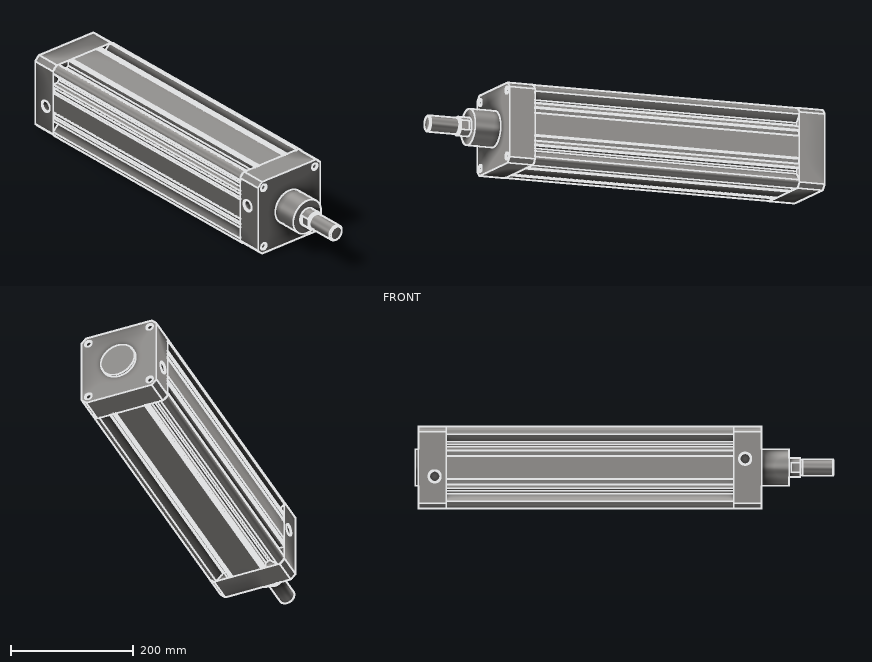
import cadquery as cq


TOTAL_LENGTH = 685.0
REAR_BOSS_LENGTH = 5.5
CAP_LENGTH = 45.0
BARREL_LENGTH = 470.5
FRONT_BOSS_LENGTH = 45.0

BARREL_START = REAR_BOSS_LENGTH + CAP_LENGTH
BARREL_END = BARREL_START + BARREL_LENGTH
FRONT_CAP_END = BARREL_END + CAP_LENGTH
FRONT_BOSS_END = FRONT_CAP_END + FRONT_BOSS_LENGTH

SECTION_WIDTH = 134.0
HALF_WIDTH = SECTION_WIDTH / 2
CAP_CORNER_RADIUS = 89.0
BOSS_RADIUS = 30.0

SCREW_OFFSET = 55.0
SCREW_HOLE_RADIUS = 5.0
SCREW_RIM_CHAMFER = 1.5
SCREW_HOLE_DEPTH = 14.0

PORT_RADIUS = 9.0
PORT_RIM_CHAMFER = 1.5
PORT_DEPTH = 19.0
PORT_HEIGHT = 14.5
REAR_PORT_X = 32.0
FRONT_PORT_X = 540.0

LOBE_RADIUS = 11.5
LOBE_EDGE = 55.0
VALLEY_OUTER = 42.5
VALLEY_INNER = 38.5
VALLEY_LEVEL = HALF_WIDTH - (LOBE_EDGE - VALLEY_OUTER)
LAND_EDGE = 34.0
RIDGE_HEIGHT = 3.0
RIDGE_LEVEL = VALLEY_LEVEL + RIDGE_HEIGHT

FLARED_GROOVE_CENTRE = 23.0
FLARED_GROOVE_WIDTH = 10.0
FLARED_GROOVE_FLOOR = 7.5
FLARED_GROOVE_DEPTH = 3.5

SLOT_CENTRE = 28.0
SLOT_WIDTH = 4.0
SLOT_DEPTH = 2.0

COLLAR_RADIUS = 16.0
COLLAR_END = 630.0
FLATS_START = 615.0
FLATS_WIDTH = 27.5
RELIEF_RADIUS = 13.0
RELIEF_LENGTH = 3.0
THREAD_RADIUS = 14.0
THREAD_START_CHAMFER = THREAD_RADIUS - RELIEF_RADIUS
TIP_CHAMFER = 2.0


def round_bar(radius, start, end):
    """Round bar on the axis from X = start to X = end."""
    return cq.Workplane("YZ", origin=(start, 0, 0)).circle(radius).extrude(end - start)


def cap_block(start):
    """Square cap with its four long edges turned round."""
    block = cq.Workplane("YZ", origin=(start, 0, 0)).rect(SECTION_WIDTH, SECTION_WIDTH).extrude(CAP_LENGTH)
    return block.intersect(round_bar(CAP_CORNER_RADIUS, start, start + CAP_LENGTH))


def countersunk_hole(mouth, inward, radius, depth, rim_chamfer):
    """Blind hole with a countersunk rim, starting at the mouth point and going inward."""
    bore = cq.Solid.makeCylinder(radius, depth, mouth, inward)
    rim = cq.Solid.makeCone(radius + rim_chamfer, radius, rim_chamfer, mouth, inward)
    return cq.Workplane(bore.fuse(rim))


def screw_holes(face_x, inward):
    """Four holes near the corners of the cap face at X = face_x."""
    holes = cq.Workplane()
    for y in (-SCREW_OFFSET, SCREW_OFFSET):
        for z in (-SCREW_OFFSET, SCREW_OFFSET):
            mouth = cq.Vector(face_x, y, z)
            holes = holes.add(
                countersunk_hole(mouth, inward, SCREW_HOLE_RADIUS, SCREW_HOLE_DEPTH, SCREW_RIM_CHAMFER)
            )
    return holes.combine()


def air_port(x, z):
    """Port going inward from the -Y side of a cap."""
    mouth = cq.Vector(x, -HALF_WIDTH, z)
    return countersunk_hole(mouth, cq.Vector(0, 1, 0), PORT_RADIUS, PORT_DEPTH, PORT_RIM_CHAMFER)


def make_rear_cap():
    cap = cap_block(REAR_BOSS_LENGTH).union(round_bar(BOSS_RADIUS, 0, REAR_BOSS_LENGTH))
    cap = cap.cut(screw_holes(REAR_BOSS_LENGTH, cq.Vector(1, 0, 0)))
    return cap.cut(air_port(REAR_PORT_X, -PORT_HEIGHT))


def make_front_cap():
    cap = cap_block(BARREL_END).union(round_bar(BOSS_RADIUS, FRONT_CAP_END, FRONT_BOSS_END))
    cap = cap.cut(round_bar(COLLAR_RADIUS, BARREL_END, FRONT_BOSS_END))
    cap = cap.cut(screw_holes(FRONT_CAP_END, cq.Vector(-1, 0, 0)))
    return cap.cut(air_port(FRONT_PORT_X, PORT_HEIGHT))


def barrel_prism(points):
    """Closed (Y, Z) outline extruded over the barrel length."""
    return cq.Workplane("YZ", origin=(BARREL_START, 0, 0)).polyline(points).close().extrude(BARREL_LENGTH)


def corner_valleys():
    """Valleys beside the round corner lobes, two on each of the four sides."""
    half_valley = [
        (LOBE_EDGE, HALF_WIDTH),
        (VALLEY_OUTER, VALLEY_LEVEL),
        (VALLEY_INNER, VALLEY_LEVEL),
        (LAND_EDGE, RIDGE_LEVEL),
        (LAND_EDGE, HALF_WIDTH),
    ]
    one_side = barrel_prism(half_valley)
    one_side = one_side.union(one_side.mirror("XZ"))
    valleys = cq.Workplane()
    for side in range(4):
        valleys = valleys.add(one_side.rotate((0, 0, 0), (1, 0, 0), 90 * side))
    return valleys.combine()


def flared_grooves():
    """Shallow grooves that widen toward the surface, two in each of the -Y and +Y sides."""
    grooves = cq.Workplane()
    floor_level = HALF_WIDTH - FLARED_GROOVE_DEPTH
    for y_sign in (-1, 1):
        for z_sign in (-1, 1):
            centre = z_sign * FLARED_GROOVE_CENTRE
            outline = [
                (y_sign * HALF_WIDTH, centre - FLARED_GROOVE_WIDTH / 2),
                (y_sign * HALF_WIDTH, centre + FLARED_GROOVE_WIDTH / 2),
                (y_sign * floor_level, centre + FLARED_GROOVE_FLOOR / 2),
                (y_sign * floor_level, centre - FLARED_GROOVE_FLOOR / 2),
            ]
            grooves = grooves.add(barrel_prism(outline))
    return grooves.combine()


def straight_slots():
    """Narrow rectangular slots, two in each of the -Z and +Z sides."""
    slot_level = HALF_WIDTH - SLOT_DEPTH / 2
    slot_centres = [(y * SLOT_CENTRE, z * slot_level) for y in (-1, 1) for z in (-1, 1)]
    return (
        cq.Workplane("YZ", origin=(BARREL_START, 0, 0))
        .pushPoints(slot_centres)
        .rect(SLOT_WIDTH, SLOT_DEPTH)
        .extrude(BARREL_LENGTH)
    )


def make_barrel():
    barrel = cq.Workplane("YZ", origin=(BARREL_START, 0, 0)).rect(SECTION_WIDTH, SECTION_WIDTH)
    barrel = barrel.extrude(BARREL_LENGTH).edges("|X").fillet(LOBE_RADIUS)
    return barrel.cut(corner_valleys()).cut(flared_grooves()).cut(straight_slots())


def make_piston_rod():
    """Turned rod with two wrench flats, a thread relief and a chamfered tip."""
    relief_end = COLLAR_END + RELIEF_LENGTH
    half_outline = [
        (BARREL_END, 0),
        (BARREL_END, COLLAR_RADIUS),
        (COLLAR_END, COLLAR_RADIUS),
        (COLLAR_END, RELIEF_RADIUS),
        (relief_end, RELIEF_RADIUS),
        (relief_end + THREAD_START_CHAMFER, THREAD_RADIUS),
        (TOTAL_LENGTH - TIP_CHAMFER, THREAD_RADIUS),
        (TOTAL_LENGTH, THREAD_RADIUS - TIP_CHAMFER),
        (TOTAL_LENGTH, 0),
    ]
    rod = cq.Workplane("XY").polyline(half_outline).close().revolve(360, (0, 0, 0), (1, 0, 0))

    flats_length = COLLAR_END - FLATS_START
    cut_width = COLLAR_RADIUS
    for y_sign in (-1, 1):
        flat_cut = cq.Workplane("XY").box(flats_length, cut_width, 2 * COLLAR_RADIUS)
        flat_y = y_sign * (FLATS_WIDTH + cut_width) / 2
        rod = rod.cut(flat_cut.translate((FLATS_START + flats_length / 2, flat_y, 0)))
    return rod


rear_cap = make_rear_cap()
barrel = make_barrel()
front_cap = make_front_cap()
piston_rod = make_piston_rod()

result = cq.Compound.makeCompound([rear_cap.val(), barrel.val(), front_cap.val(), piston_rod.val()])